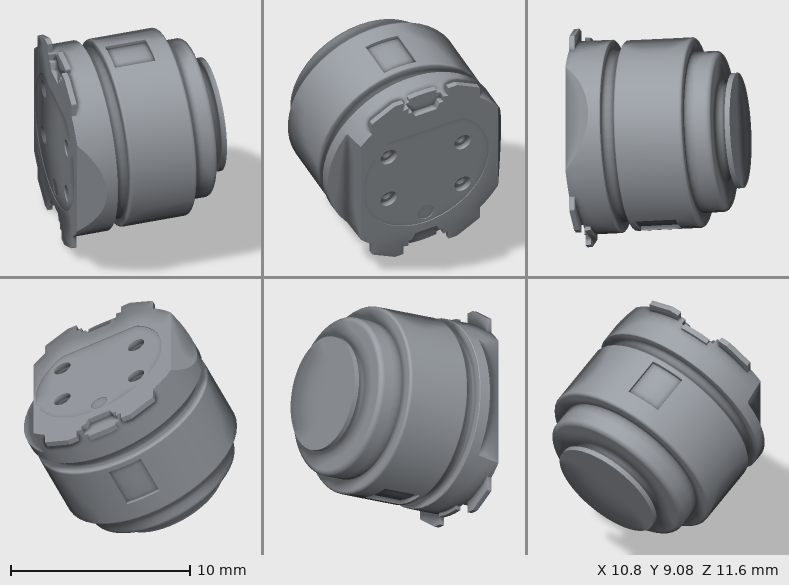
import cadquery as cq
import math


base_diameter = 10.8
base_radius = base_diameter / 2
base_depth = 2.12
base_edge_chamfer = 0.03
groove_radius = 4.77
groove_fillet = 0.15
ring_radius = 5.32
ring_front = 2.88
ring_back = 6.74
ring_front_fillet = 0.12
ring_back_fillet = 0.16
shoulder_radius = 4.5
shoulder_back = 8.19
shoulder_fillet = 0.29
neck_radius = 2.62
cap_radius = 3.22
cap_thickness = 0.29
total_depth = 9.08

rim_front = 1.46
left_front_x = -4.06
left_back_x = -4.2
left_fillet = 0.12
right_front_x = 4.49

window_width = 2.02
window_front = 3.22
window_back = 5.58
window_floor_radius = 5.08

recess_radius = 3.92
recess_flat_z = 3.17
recess_corner_radius = 0.6
recess_depth = 0.05

left_hole_x = -2.3
right_hole_x = -left_hole_x
left_hole_heights = (2.01, -1.2)
right_hole_heights = (1.21, -2.0)
counterbore_radius = 0.51
counterbore_depth = 0.34
pin_radius = 0.29
pin_depth = 0.58
dimple_z = -3.2
dimple_radius = 0.51
dimple_depth = 0.05

notch_depth = 0.4
notch_half_width = 1.08
notch_step_z = 4.9
notch_floor_z = 4.5
notch_floor_half_width = 0.66
tab_half_width = 0.85
tab_radius = 5.61
tab_thickness = 0.31

clip_thickness = 0.3
clip_inner_x = 1.39
clip_outer_x = 3.36
clip_top_z = 5.8
clip_top_outer_x = 1.94
clip_shoulder_z = 5.01
clip_shoulder_fillet = 0.12
clip_bottom_z = 4.11
clip_stem_x = 1.74
clip_lip_z = 5.01
clip_lip_fillet = 0.09
hook_width = 0.31
hook_radius = hook_width / 2
hook_x = 1.83
bump_x = 2.83
bump_half_width = 0.15
bump_height = 0.08


def contact_plane(depth=0):
    """Sketch plane parallel to the contact face, at the given distance behind it."""
    return cq.Workplane("XZ", origin=(0, depth, 0))


def disc(radius, thickness, depth=0, x=0, z=0):
    """Cylinder along +Y that starts at the given depth."""
    return contact_plane(depth).center(x, z).circle(radius).extrude(-thickness)


def turned_body():
    cap_front = total_depth - cap_thickness
    neck_arc_radius = (cap_front - shoulder_back) / 2
    neck_end_radius = neck_radius + neck_arc_radius
    profile = (
        cq.Workplane("XY")
        .lineTo(base_radius, 0)
        .lineTo(base_radius, base_depth - base_edge_chamfer)
        .lineTo(base_radius - base_edge_chamfer, base_depth)
        .lineTo(groove_radius + groove_fillet, base_depth)
        .radiusArc((groove_radius, base_depth + groove_fillet), groove_fillet)
        .lineTo(groove_radius, ring_front - groove_fillet)
        .radiusArc((groove_radius + groove_fillet, ring_front), groove_fillet)
        .lineTo(ring_radius - ring_front_fillet, ring_front)
        .radiusArc((ring_radius, ring_front + ring_front_fillet), -ring_front_fillet)
        .lineTo(ring_radius, ring_back - ring_back_fillet)
        .radiusArc((ring_radius - ring_back_fillet, ring_back), -ring_back_fillet)
        .lineTo(shoulder_radius, ring_back)
        .lineTo(shoulder_radius, shoulder_back - shoulder_fillet)
        .radiusArc((shoulder_radius - shoulder_fillet, shoulder_back), -shoulder_fillet)
        .lineTo(neck_end_radius, shoulder_back)
        .threePointArc((neck_radius, shoulder_back + neck_arc_radius), (neck_end_radius, cap_front))
        .lineTo(cap_radius, cap_front)
        .lineTo(cap_radius, total_depth)
        .lineTo(0, total_depth)
        .close()
    )
    return profile.revolve(360, (0, 0, 0), (0, 1, 0))


def side_cuts():
    """Steep cut on the -X side, with a rounded inner corner, and sloped cut on the +X side."""
    left = (
        cq.Workplane("XY")
        .polyline([
            (left_front_x, 0),
            (left_back_x, rim_front),
            (-2 * base_radius, rim_front),
            (-2 * base_radius, 0),
        ])
        .close()
        .extrude(base_radius, both=True)
        .edges(cq.selectors.NearestToPointSelector((left_back_x, rim_front, 0)))
        .fillet(left_fillet)
    )
    right = (
        cq.Workplane("XY")
        .polyline([(right_front_x, 0), (base_radius, rim_front), (base_radius, 0)])
        .close()
        .extrude(base_radius, both=True)
    )
    return left.union(right)


def ring_windows():
    """Both windows, with floors concentric to the ring."""
    length = window_back - window_front
    window_span = (
        contact_plane(window_front)
        .rect(window_width, 4 * ring_radius)
        .extrude(-length)
    )
    return window_span.cut(disc(window_floor_radius, length, window_front))


def face_recess():
    """Round recess with a flat top; the corners are rounded tangent to the circle and the flat."""
    corner_z = recess_flat_z - recess_corner_radius
    corner_reach = recess_radius - recess_corner_radius
    corner_x = math.sqrt(corner_reach**2 - corner_z**2)
    tangent_x = corner_x * recess_radius / corner_reach
    tangent_z = corner_z * recess_radius / corner_reach
    return (
        contact_plane()
        .moveTo(-corner_x, recess_flat_z)
        .lineTo(corner_x, recess_flat_z)
        .radiusArc((tangent_x, tangent_z), recess_corner_radius)
        .threePointArc((0, -recess_radius), (-tangent_x, tangent_z))
        .radiusArc((-corner_x, recess_flat_z), recess_corner_radius)
        .close()
        .extrude(-recess_depth)
    )


def contact_hole(x, z):
    counterbore = disc(counterbore_radius, counterbore_depth, recess_depth, x, z)
    return counterbore.union(disc(pin_radius, pin_depth, recess_depth, x, z))


def notch():
    """Upper notch: a wide mouth that narrows to a flat floor."""
    right_half = [
        (notch_floor_half_width, notch_floor_z),
        (tab_half_width, notch_step_z),
        (notch_half_width, notch_step_z),
        (notch_half_width, clip_top_z),
    ]
    left_half = [(-x, z) for x, z in reversed(right_half)]
    return contact_plane().polyline(right_half + left_half).close().extrude(-notch_depth)


def tab():
    """Upper tab: a strip of a disc slightly larger than the base."""
    strip = (
        contact_plane(notch_depth)
        .center(0, (notch_floor_z + clip_top_z) / 2)
        .rect(2 * tab_half_width, clip_top_z - notch_floor_z)
        .extrude(-tab_thickness)
    )
    return strip.intersect(disc(tab_radius, tab_thickness, notch_depth))


def clip():
    """Upper right clip: a hooked plate whose inner outline locks into the base."""
    hook_z = clip_lip_z - hook_radius
    hook_end_z = hook_z - hook_radius
    plate = (
        contact_plane()
        .moveTo(clip_inner_x, clip_top_z)
        .lineTo(clip_top_outer_x, clip_top_z)
        .lineTo(clip_outer_x, clip_shoulder_z)
        .lineTo(clip_outer_x, clip_bottom_z)
        .lineTo(bump_x + bump_half_width, clip_bottom_z)
        .threePointArc((bump_x, clip_bottom_z + bump_height), (bump_x - bump_half_width, clip_bottom_z))
        .lineTo(clip_stem_x, clip_bottom_z)
        .lineTo(clip_stem_x, hook_end_z)
        .lineTo(hook_x, hook_end_z)
        .threePointArc((hook_x + hook_radius, hook_z), (hook_x, clip_lip_z))
        .lineTo(clip_inner_x, clip_lip_z)
        .close()
        .extrude(-clip_thickness)
    )
    mid_y = clip_thickness / 2
    for x, z, radius in (
        (clip_outer_x, clip_shoulder_z, clip_shoulder_fillet),
        (clip_inner_x, clip_lip_z, clip_lip_fillet),
    ):
        corner = cq.selectors.NearestToPointSelector((x, mid_y, z))
        plate = plate.edges(corner).fillet(radius)
    return plate


def top_and_bottom(shape):
    return [shape, shape.mirror("XY")]


def four_corners(shape):
    return top_and_bottom(shape) + top_and_bottom(shape.mirror("YZ"))


result = turned_body().cut(side_cuts()).cut(ring_windows()).cut(face_recess())

for hole_z in left_hole_heights:
    result = result.cut(contact_hole(left_hole_x, hole_z))
for hole_z in right_hole_heights:
    result = result.cut(contact_hole(right_hole_x, hole_z))
result = result.cut(disc(dimple_radius, dimple_depth, recess_depth, z=dimple_z))

for notch_cutter in top_and_bottom(notch()):
    result = result.cut(notch_cutter)
for tab_solid in top_and_bottom(tab()):
    result = result.union(tab_solid)

clips = four_corners(clip())
for clip_solid in clips:
    result = result.cut(clip_solid)
for clip_solid in clips:
    result = result.union(clip_solid, clean=False)